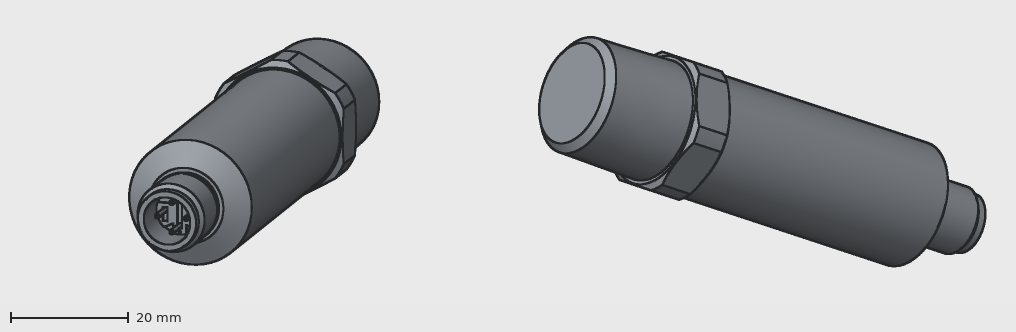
import cadquery as cq
import math

length = 86.5
back = length / 2
front = -length / 2

thread_end_dia = 20.5
thread_root_dia = 21.3
thread_chamfer = 1.4
thread_length = 17.9

hex_flats = 23.0
hex_corner_dia = 25.0
hex_face_dia = 22.7
hex_width = 7.5
hex_chamfer_angle = 30.0
hex_half_side_angle = 30.0

body_dia = 22.0
cone_end_dia = 13.3
cone_length = 2.3
neck_dia = 12.0
neck_base_dia = 11.8
neck_base_length = 1.1
tip_dia = 10.5
plug_length = 10.55
neck_chamfer_length = 0.8
tip_length = 1.5

socket_dia = 8.3
socket_depth = 6.9
recess_depth = 0.4
recess_edge_height = 1.2
rib_width = 2.3
rib_top = 3.55
rib_corner_radius = 0.4
lower_recess_inner_height = -2.3
lower_recess_outer_height = -3.7
key_dot_dia = 1.2
key_dot_height = 0.3
mark_dia = 0.4
mark_offset = 3.6

pin_dia = 0.8
pin_tip_dia = 0.4
pin_tip_length = 0.2
pin_setback = 2.3
pin_offset = 2.6
slot_width = 0.9
side_slot_bottom = -2.0

hex_back = back - thread_length
hex_front = hex_back - hex_width
cone_front = front + plug_length
cone_back = cone_front + cone_length
floor = front + socket_depth
recess_floor = floor + recess_depth


def revolve_profile(points):
    """Revolve (radius, y) points, closed along the Y axis, about that axis."""
    return cq.Workplane("XY").polyline(points).close().revolve(360, (0, 0, 0), (0, 1, 0))


def facing_plane(y):
    """Workplane at the given y whose normal points to +Y; its local axes are -X and +Z."""
    return cq.Workplane(cq.Plane(origin=(0, y, 0), xDir=(-1, 0, 0), normal=(0, 1, 0)))


def cylinder(dia, y_start, y_end, x=0, z=0):
    """Cylinder along Y with its axis at the given x and z."""
    return facing_plane(y_start).center(-x, z).circle(dia / 2).extrude(y_end - y_start)


def block(x_min, x_max, z_min, z_max, y_start, y_end):
    """Box between the given limits."""
    size = (x_max - x_min, y_end - y_start, z_max - z_min)
    return cq.Workplane("XY").box(*size, centered=False).translate((x_min, y_start, z_min))


def turned_body():
    return revolve_profile([
        (0, back),
        (thread_end_dia / 2 - thread_chamfer, back),
        (thread_end_dia / 2, back - thread_chamfer),
        (thread_root_dia / 2, hex_back),
        (body_dia / 2, hex_back),
        (body_dia / 2, cone_back),
        (cone_end_dia / 2, cone_front),
        (neck_base_dia / 2, cone_front),
        (neck_base_dia / 2, cone_front - neck_base_length),
        (neck_dia / 2, cone_front - neck_base_length),
        (neck_dia / 2, front + tip_length + neck_chamfer_length),
        (tip_dia / 2, front + tip_length),
        (tip_dia / 2, front),
        (0, front),
    ])


def hex_collar():
    corner_radius = hex_corner_dia / 2
    face_radius = hex_face_dia / 2
    chamfer_length = (corner_radius - face_radius) * math.tan(math.radians(hex_chamfer_angle))
    across_corners = hex_flats / math.cos(math.radians(hex_half_side_angle))
    turned_plane = facing_plane(hex_front).transformed(rotate=(0, 0, hex_half_side_angle))
    prism = turned_plane.polygon(6, across_corners).extrude(hex_width)
    turned_blank = revolve_profile([
        (0, hex_back),
        (face_radius, hex_back),
        (corner_radius, hex_back - chamfer_length),
        (corner_radius, hex_front + chamfer_length),
        (face_radius, hex_front),
        (0, hex_front),
    ])
    return prism.intersect(turned_blank)


def insert_recesses():
    """Shallow recesses in the socket floor that leave the central rib standing."""
    reach = socket_dia / 2
    rib_side = rib_width / 2
    disc = cylinder(socket_dia, floor, recess_floor)
    rib = block(-rib_side, rib_side, 0, rib_top, floor, recess_floor)
    rib = rib.edges("|Y and >Z").fillet(rib_corner_radius)
    upper = block(-reach, reach, recess_edge_height, reach, floor, recess_floor).cut(rib)
    lower_right = (
        facing_plane(floor)
        .polyline([
            (-rib_side, -reach),
            (-rib_side, lower_recess_inner_height),
            (-reach, lower_recess_outer_height),
            (-reach, -reach),
        ])
        .close()
        .extrude(recess_depth)
    )
    lower_left = lower_right.mirror("YZ")
    key_dot = cylinder(key_dot_dia, recess_floor - key_dot_height, recess_floor, pin_offset, pin_offset)
    mark = cylinder(mark_dia, floor, recess_floor, z=-mark_offset)
    return upper.union(lower_right).union(lower_left).intersect(disc).cut(key_dot).union(mark)


def contact_slots():
    """One long slot for the top and bottom pins and a short slot for each side pin."""
    half = slot_width / 2
    end = pin_offset + half
    slots = block(-half, half, -end, end, floor, recess_floor)
    for x in (-pin_offset, pin_offset):
        slots = slots.union(block(x - half, x + half, side_slot_bottom, half, floor, recess_floor))
    return slots


def pin(x, z):
    """Contact pin with a chamfered tip, rising from the recessed floor."""
    tip = front + pin_setback
    profile = [
        (0, tip),
        (pin_tip_dia / 2, tip),
        (pin_dia / 2, tip + pin_tip_length),
        (pin_dia / 2, recess_floor),
        (0, recess_floor),
    ]
    return revolve_profile(profile).translate((x, 0, z))


result = turned_body().union(hex_collar())
result = result.cut(cylinder(socket_dia, front, floor))
result = result.cut(insert_recesses()).cut(contact_slots())
for pin_x, pin_z in [(pin_offset, 0), (-pin_offset, 0), (0, pin_offset), (0, -pin_offset)]:
    result = result.union(pin(pin_x, pin_z))